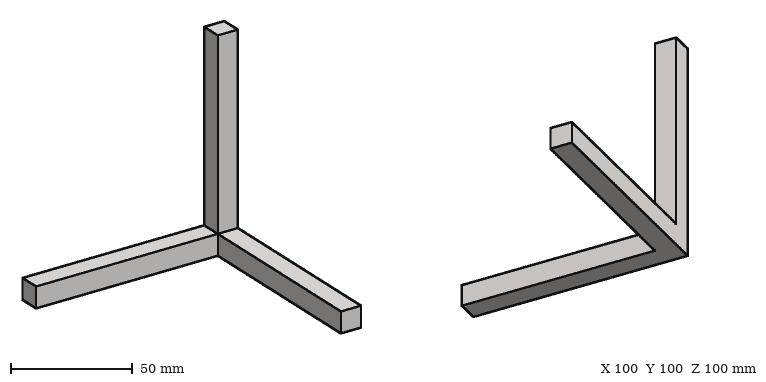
import cadquery as cq

length = 100.0
width = 10.0

corner_x = -length / 2
corner_y = length / 2
corner_z = -length / 2


def bar(size_x, size_y, size_z):
    """Bar growing from the shared corner toward +X, -Y and +Z."""
    block = cq.Workplane("XY").box(size_x, size_y, size_z, centered=False)
    return block.translate((corner_x, corner_y - size_y, corner_z))


x_bar = bar(length, width, width)
y_bar = bar(width, length, width)
z_bar = bar(width, width, length)

result = x_bar.union(y_bar).union(z_bar)